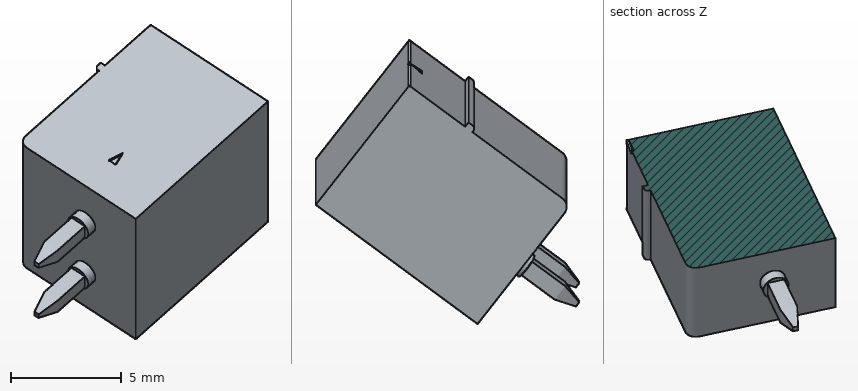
import cadquery as cq


overall_length = 12.6
body_width = 6.99
body_depth = 9.2
body_height = 8.4
pin_to_right_side = 3.0
corner_radius = 0.5
left_x = pin_to_right_side - body_width
back_y = body_depth
top_z = body_height / 2

rib_protrusion = 0.25
rib_length = 0.42
rib_radius = 0.2
rib_back_y = 6.02

pin_pitch = 3.5
collar_diameter = 1.2
collar_length = 0.5
pin_width = 0.8
tip_width = 0.25
tip_length = 1.01
pin_reach = overall_length - body_depth
pin_embed = 0.13

mark_length = 0.74
mark_width = 0.4
mark_depth = 0.1
top_mark_base_y = 1.85

edge_chamfer = 0.08
chamfer_end_margin = 0.03


def housing():
    block = cq.Workplane("XY").box(body_width, body_depth, body_height)
    block = block.translate((left_x + body_width / 2, body_depth / 2, 0))
    return block.edges("|Z and <X and <Y").fillet(corner_radius)


def keying_rib():
    """Rib with a square rear shoulder and a rounded front corner."""
    outer_x = left_x - rib_protrusion
    front_y = rib_back_y - rib_length
    return (
        cq.Workplane("XY", origin=(0, 0, -top_z))
        .moveTo(left_x, rib_back_y)
        .lineTo(outer_x, rib_back_y)
        .lineTo(outer_x, front_y + rib_radius)
        .radiusArc((outer_x + rib_radius, front_y), -rib_radius)
        .lineTo(left_x, front_y)
        .close()
        .extrude(body_height)
    )


def pin(z):
    """Round collar and square pin with a tapered tip, pointing towards -Y."""
    front = cq.Workplane("XZ", origin=(0, pin_embed, z))
    collar = front.circle(collar_diameter / 2).extrude(pin_embed + collar_length)
    shank = front.rect(pin_width, pin_width).extrude(pin_embed + pin_reach - tip_length)
    tip = (
        shank.faces("<Y").workplane()
        .rect(pin_width, pin_width)
        .workplane(offset=tip_length)
        .rect(tip_width, tip_width)
        .loft(combine=False)
    )
    return collar.union(shank).union(tip)


def top_mark():
    """Recess in the top face, pointing towards the rear."""
    return (
        cq.Workplane("XY", origin=(0, top_mark_base_y, top_z))
        .polyline([(-mark_width / 2, 0), (mark_width / 2, 0), (0, mark_length)])
        .close()
        .extrude(-mark_depth)
    )


def side_mark():
    """Recess in the left side, with its point on the rear edge."""
    base_y = back_y - mark_length
    return (
        cq.Workplane("YZ", origin=(left_x, 0, 0))
        .polyline([(base_y, -mark_width / 2), (base_y, mark_width / 2), (back_y, 0)])
        .close()
        .extrude(mark_depth)
    )


def rear_chamfers():
    """Two chamfer cuts, leaving the sharp edge at both ends and at the mark."""
    start_z = mark_width / 2
    length = top_z - chamfer_end_margin - start_z
    cut = (
        cq.Workplane("XY", origin=(left_x, back_y, start_z))
        .polyline([(0, 0), (edge_chamfer, 0), (0, -edge_chamfer)])
        .close()
        .extrude(length)
    )
    return cut.union(cut.mirror("XY"))


result = housing().union(keying_rib())
for pin_z in (-pin_pitch / 2, pin_pitch / 2):
    result = result.union(pin(pin_z))
result = result.cut(top_mark()).cut(side_mark()).cut(rear_chamfers())